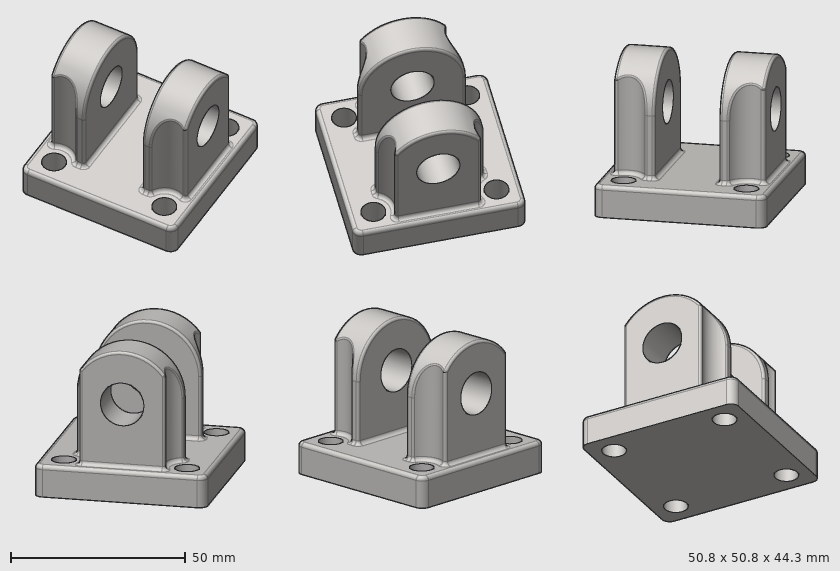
import cadquery as cq

base_side = 50.8
base_thickness = 9.5
corner_radius = 2.55
plate_edge_radius = 1.25

mount_hole_diameter = 7.1
mount_hole_offset = 18.2

overall_height = 44.3
lug_gap = 19.1
lug_thickness = 12.8
lug_radius = 15.75
lug_edge_radius = 0.8
root_fillet_radius = 1.25
pivot_hole_diameter = 12.8
pivot_height = overall_height - lug_radius
lug_inner_x = lug_gap / 2

scoop_radius = 6.35

tolerance = 0.005


def make_base():
    """Square plate with rounded corners and a rounded top rim."""
    plate = cq.Workplane("XY").rect(base_side, base_side).extrude(base_thickness)
    plate = plate.edges("|Z").fillet(corner_radius)
    return plate.faces(">Z").edges().fillet(plate_edge_radius)


def make_lug():
    """Lug on the +X side with scoops at its outer corners and all side and top edges rounded."""
    lug = (
        cq.Workplane("YZ", origin=(lug_inner_x, 0, 0))
        .moveTo(-lug_radius, base_thickness)
        .lineTo(-lug_radius, pivot_height)
        .threePointArc((0, overall_height), (lug_radius, pivot_height))
        .lineTo(lug_radius, base_thickness)
        .close()
        .extrude(lug_thickness)
    )
    scoops = (
        cq.Workplane("XY")
        .pushPoints([(mount_hole_offset, -mount_hole_offset), (mount_hole_offset, mount_hole_offset)])
        .circle(scoop_radius)
        .extrude(overall_height)
    )
    lug = lug.cut(scoops)
    dome_seams = cq.selectors.BoxSelector(
        (lug_inner_x + lug_edge_radius, -base_side, pivot_height - tolerance),
        (lug_inner_x + lug_thickness, base_side, pivot_height + tolerance),
    )
    rounded_edges = lug.edges("not <Z").edges(cq.selectors.InverseSelector(dome_seams))
    return rounded_edges.fillet(lug_edge_radius)


def is_lug_root(edge):
    """True for lug outline edges on the plate's top face."""
    box = edge.BoundingBox()
    on_top = abs(box.zmin - base_thickness) < tolerance and abs(box.zmax - base_thickness) < tolerance
    plate_flat_half = base_side / 2 - plate_edge_radius
    inside_rim = max(abs(box.xmin), abs(box.xmax), abs(box.ymin), abs(box.ymax)) < plate_flat_half - tolerance
    return on_top and inside_rim


lug = make_lug()
body = make_base().union(lug).union(lug.mirror("YZ"))
root_edges = [edge for edge in body.edges().vals() if is_lug_root(edge)]
body = body.newObject(root_edges).fillet(root_fillet_radius)

mount_holes = (
    cq.Workplane("XY")
    .rect(2 * mount_hole_offset, 2 * mount_hole_offset, forConstruction=True)
    .vertices()
    .circle(mount_hole_diameter / 2)
    .extrude(base_thickness)
)
pivot_hole = (
    cq.Workplane("YZ", origin=(0, 0, pivot_height))
    .circle(pivot_hole_diameter / 2)
    .extrude(base_side / 2, both=True)
)

result = body.cut(mount_holes).cut(pivot_hole)